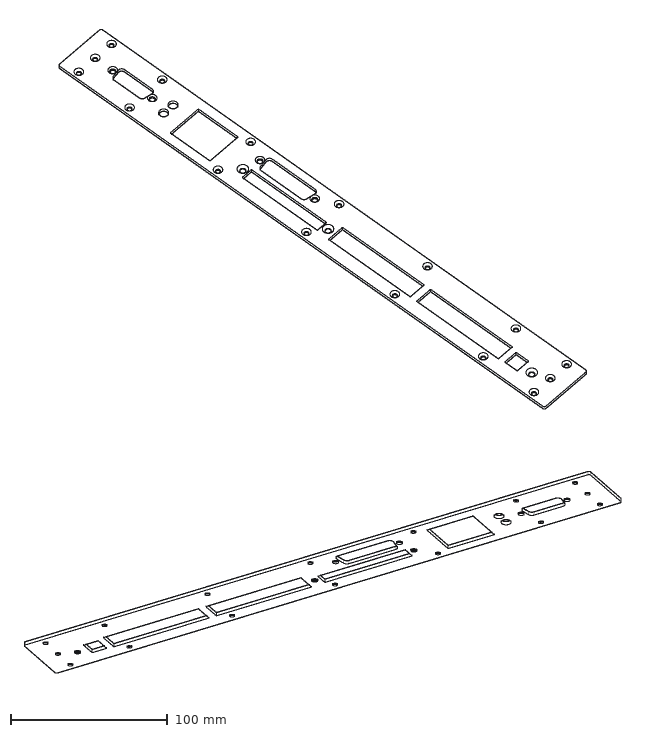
import cadquery as cq
import math

LENGTH = 419.1
WIDTH = 40.64
THICKNESS = 2.5
CORNER_RADIUS = 1.27

MOUNT_HOLE = 3.2
MOUNT_SINK = 6.09
SINK_ANGLE = 90
ROW_PITCH = 76.2
ROW_Y = 15.5
END_COLUMN_X = 196.1

D_SIDE_LEAN = 10
D_CORNER_RADIUS = 2.6
D_SCREW_HOLE = 3.92
D_SCREW_SINK = 6.09
SMALL_D_CENTRE = (-163.95, 0)
SMALL_D_WIDTH = 29.96
SMALL_D_HEIGHT = 10.87
SMALL_D_SCREW_SPACING = 34.0
LARGE_D_CENTRE = (-38.1, 8.4)
LARGE_D_WIDTH = 43.0
LARGE_D_HEIGHT = 11.77
LARGE_D_SCREW_SPACING = 47.2

SLOT_CENTRE = (-28.15, -5.4)
SLOT_LENGTH = 64.7
SLOT_HEIGHT = 8.7
SLOT_SCREW_SPACING = 73.4
SLOT_SCREW_Y = -4.4

LARGE_SCREW_HOLE = 3.92
LARGE_SCREW_SINK = 7.36
SINGLE_SCREW = (184.2, -4.5)

MODULE_CENTRE = (-102.0, -0.2)
MODULE_LENGTH = 34.2
MODULE_HEIGHT = 26.6
CARD_CENTRE_XS = (49.7, 125.6)
CARD_CENTRE_Y = -3.83
CARD_LENGTH = 70.4
CARD_HEIGHT = 13.2
SQUARE_CENTRE = (171.05, -4.3)
SQUARE_SIDE = 10.75

LAMP_DIAMETER = 6.35
LAMP_X = -133.35
LAMP_CENTRE_Y = 0.34
LAMP_SPACING = 8.89


def pair_along_x(centre, spacing):
    """Two points on either side of a centre."""
    x, y = centre
    return [(x - spacing / 2, y), (x + spacing / 2, y)]


def make_plate():
    plate = cq.Workplane("XY").box(LENGTH, WIDTH, THICKNESS, centered=(True, True, False))
    return plate.edges("|Z").fillet(CORNER_RADIUS)


def cut_countersinks(plate, points, hole, sink):
    """Through holes with a conical seat on the top face."""
    top = plate.faces(">Z").workplane(origin=(0, 0, 0))
    return top.pushPoints(points).cskHole(hole, sink, SINK_ANGLE)


def cut_rectangle(plate, centre, length, height):
    window = cq.Workplane("XY").center(*centre).rect(length, height).extrude(THICKNESS)
    return plate.cut(window)


def cut_d_connector(plate, centre, width, height, screw_spacing):
    """D-shaped window with a countersunk screw hole at each end."""
    half_top = width / 2
    half_bottom = half_top - height * math.tan(math.radians(D_SIDE_LEAN))
    half_height = height / 2
    outline = [
        (-half_top, half_height),
        (half_top, half_height),
        (half_bottom, -half_height),
        (-half_bottom, -half_height),
    ]
    window = cq.Workplane("XY").center(*centre).polyline(outline).close().extrude(THICKNESS)
    window = window.edges("|Z").fillet(D_CORNER_RADIUS)
    screws = pair_along_x(centre, screw_spacing)
    plate = cut_countersinks(plate, screws, D_SCREW_HOLE, D_SCREW_SINK)
    return plate.cut(window)


def mounting_points():
    sides = (-1, 1)
    end_columns = [(side * END_COLUMN_X, y) for side in sides for y in (-ROW_Y, 0, ROW_Y)]
    rows = [(step * ROW_PITCH, side * ROW_Y) for step in range(-2, 3) for side in sides]
    return end_columns + rows


def cut_lamp_holes(plate):
    points = [(LAMP_X, LAMP_CENTRE_Y + side * LAMP_SPACING / 2) for side in (-1, 1)]
    lamps = cq.Workplane("XY").pushPoints(points).circle(LAMP_DIAMETER / 2).extrude(THICKNESS)
    return plate.cut(lamps)


plate = make_plate()
plate = cut_countersinks(plate, mounting_points(), MOUNT_HOLE, MOUNT_SINK)

plate = cut_d_connector(plate, SMALL_D_CENTRE, SMALL_D_WIDTH, SMALL_D_HEIGHT, SMALL_D_SCREW_SPACING)
plate = cut_d_connector(plate, LARGE_D_CENTRE, LARGE_D_WIDTH, LARGE_D_HEIGHT, LARGE_D_SCREW_SPACING)
plate = cut_rectangle(plate, SLOT_CENTRE, SLOT_LENGTH, SLOT_HEIGHT)
large_screws = pair_along_x((SLOT_CENTRE[0], SLOT_SCREW_Y), SLOT_SCREW_SPACING) + [SINGLE_SCREW]
plate = cut_countersinks(plate, large_screws, LARGE_SCREW_HOLE, LARGE_SCREW_SINK)

plate = cut_rectangle(plate, MODULE_CENTRE, MODULE_LENGTH, MODULE_HEIGHT)
for card_x in CARD_CENTRE_XS:
    plate = cut_rectangle(plate, (card_x, CARD_CENTRE_Y), CARD_LENGTH, CARD_HEIGHT)
plate = cut_rectangle(plate, SQUARE_CENTRE, SQUARE_SIDE, SQUARE_SIDE)

result = cut_lamp_holes(plate)